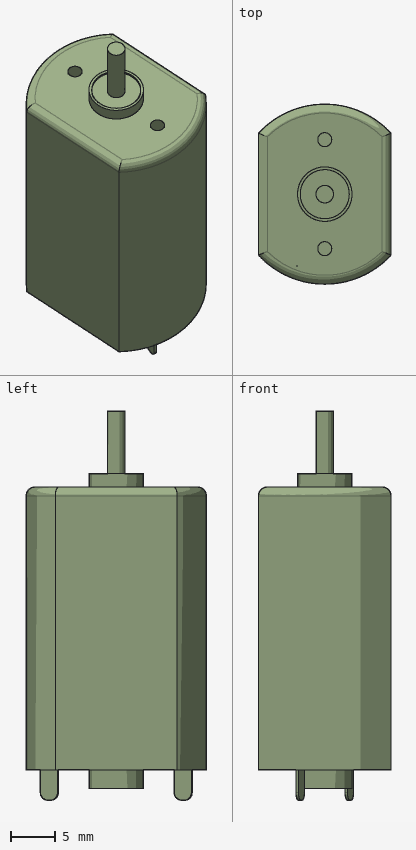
import cadquery as cq
import math

overall_length = 44.05

can_width = 15.0
can_diameter = 20.4
can_length = 32.02
can_edge_radius = 1.0

bearing_diameter = 6.15
front_bearing_height = 1.5
rear_bearing_height = 2.1
recess_diameter = 5.55
recess_depth = 0.2
shaft_diameter = 2.0
shaft_length = 7.1

hole_diameter = 1.6
hole_spacing = 12.35
hole_depth = 2.0

terminal_length = overall_length - can_length - front_bearing_height - shaft_length
terminal_width = 2.05
terminal_thickness = 0.3
terminal_corner_radius = 0.9
terminal_twist = -20.0
terminal_x = 2.78
terminal_y = 7.58


def make_can():
    """Can standing on Z = 0 with its upper rim rounded."""
    half_width = can_width / 2
    radius = can_diameter / 2
    corner_y = math.sqrt(radius**2 - half_width**2)
    return (
        cq.Workplane("XY")
        .moveTo(-half_width, -corner_y)
        .threePointArc((0, -radius), (half_width, -corner_y))
        .lineTo(half_width, corner_y)
        .threePointArc((0, radius), (-half_width, corner_y))
        .close()
        .extrude(can_length)
        .faces(">Z")
        .edges()
        .fillet(can_edge_radius)
    )


def cylinder(diameter, bottom, height):
    """Cylinder on the Z axis, starting at the given level."""
    return cq.Workplane("XY").workplane(offset=bottom).circle(diameter / 2).extrude(height)


def make_terminal(side):
    """Twisted blade with rounded lower corners; side is +1 or -1."""
    return (
        cq.Workplane("XY")
        .rect(terminal_thickness, terminal_width)
        .extrude(-terminal_length)
        .faces("<Z")
        .edges("|X")
        .fillet(terminal_corner_radius)
        .rotate((0, 0, 0), (0, 0, 1), terminal_twist)
        .translate((side * terminal_x, side * terminal_y, 0))
    )


bearing_top = can_length + front_bearing_height
recess_floor = bearing_top - recess_depth

result = make_can()
result = result.union(cylinder(bearing_diameter, can_length, front_bearing_height))
result = result.cut(cylinder(recess_diameter, recess_floor, recess_depth))
result = result.union(cylinder(shaft_diameter, recess_floor, recess_depth + shaft_length))
result = result.union(cylinder(bearing_diameter, -rear_bearing_height, rear_bearing_height))

for side in (-1, 1):
    result = result.union(make_terminal(side))
    hole = cylinder(hole_diameter, can_length - hole_depth, hole_depth)
    result = result.cut(hole.translate((0, side * hole_spacing / 2, 0)))